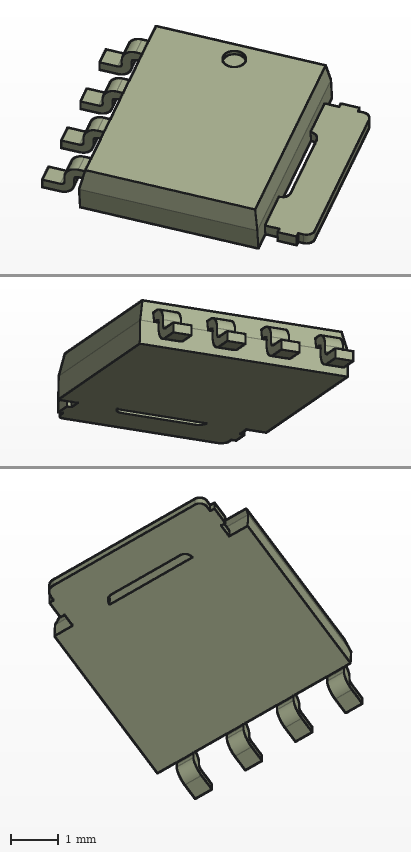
import cadquery as cq

total_length = 6.0
body_width = 4.9
body_height = 1.02

parting_height = 0.52
base_x = (0.96, 4.955)
parting_x = (0.935, 4.93)
top_x = (1.045, 4.85)
top_width = 4.69

mark_diameter = 0.5
mark_depth = 0.095
mark_x = 2.945

lead_count = 4
lead_pitch = 1.27
lead_width = 0.425
lead_thickness = 0.22
lead_top = 0.755
lead_riser_x = 0.5
bend_inner_radius = 0.09
bend_outer_radius = bend_inner_radius + lead_thickness
lead_embed_x = 1.2

tab_thickness = 0.26
tab_width = 3.97
tab_corner_radius = 0.185
tab_root_x = 4.74
ear_x = (5.27, 5.695)
ear_span = 4.19
window_end_x = 5.14
window_width = 2.1
window_corner_radius = 0.185


def block(x_limits, width, height):
    """Box resting on Z = 0 and centred across Y."""
    length = x_limits[1] - x_limits[0]
    return (
        cq.Workplane("XY")
        .box(length, width, height, centered=(False, True, False))
        .translate((x_limits[0], 0, 0))
    )


def body_layer(lower_z, lower_x, lower_width, upper_z, upper_x, upper_width):
    """Drafted slab between two rectangles at different heights."""
    lower_centre = sum(lower_x) / 2
    upper_centre = sum(upper_x) / 2
    return (
        cq.Workplane("XY", origin=(lower_centre, 0, lower_z))
        .rect(lower_x[1] - lower_x[0], lower_width)
        .workplane(offset=upper_z - lower_z)
        .center(upper_centre - lower_centre, 0)
        .rect(upper_x[1] - upper_x[0], upper_width)
        .loft(ruled=True)
    )


def make_body():
    lower = body_layer(0, base_x, body_width, parting_height, parting_x, body_width)
    upper = body_layer(parting_height, parting_x, body_width, body_height, top_x, top_width)
    return lower.union(upper)


def make_lead(y_centre):
    """S-shaped lead, extruded across Y."""
    riser_back_x = lead_riser_x + lead_thickness
    foot_bend_x = lead_riser_x - bend_inner_radius
    shoulder_bend_x = riser_back_x + bend_inner_radius
    shoulder_bottom = lead_top - lead_thickness
    shoulder_bend_z = lead_top - bend_outer_radius
    return (
        cq.Workplane("XZ", origin=(0, y_centre + lead_width / 2, 0))
        .moveTo(0, 0)
        .lineTo(foot_bend_x, 0)
        .radiusArc((riser_back_x, bend_outer_radius), -bend_outer_radius)
        .lineTo(riser_back_x, shoulder_bend_z)
        .radiusArc((shoulder_bend_x, shoulder_bottom), bend_inner_radius)
        .lineTo(lead_embed_x, shoulder_bottom)
        .lineTo(lead_embed_x, lead_top)
        .lineTo(shoulder_bend_x, lead_top)
        .radiusArc((lead_riser_x, shoulder_bend_z), -bend_outer_radius)
        .lineTo(lead_riser_x, bend_outer_radius)
        .radiusArc((foot_bend_x, lead_thickness), bend_inner_radius)
        .lineTo(0, lead_thickness)
        .close()
        .extrude(lead_width)
    )


def make_tab():
    plate = block((tab_root_x, total_length), tab_width, tab_thickness)
    plate = plate.edges("|Z and >X").fillet(tab_corner_radius)
    ears = block(ear_x, ear_span, tab_thickness)
    window = block((tab_root_x, window_end_x), window_width, tab_thickness)
    window = window.edges("|Z and >X").fillet(window_corner_radius)
    return plate.union(ears).cut(window)


first_lead_y = lead_pitch * (lead_count - 1) / 2

result = make_body().union(make_tab())
for index in range(lead_count):
    result = result.union(make_lead(first_lead_y - index * lead_pitch))

mark = (
    cq.Workplane("XY", origin=(mark_x, first_lead_y, body_height - mark_depth))
    .circle(mark_diameter / 2)
    .extrude(mark_depth)
)
result = result.cut(mark)